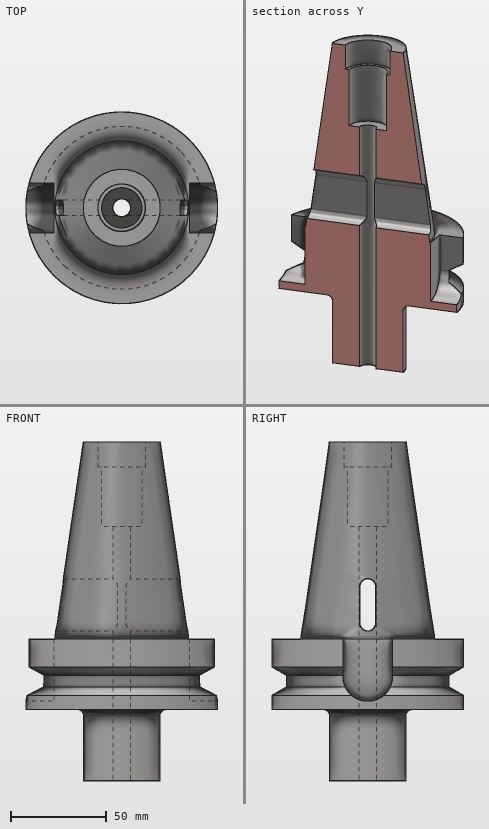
import cadquery as cq
import math

total_height = 176.8
flange_bottom = 37.1
flange_top = 73.9
taper_base = 75.0

nose_radius = 40.0 / 2
nose_fillet = 3.0
flange_radius = 100.0 / 2
taper_base_radius = 69.8 / 2
taper_ratio = 7 / 24
taper_tip_radius = taper_base_radius - (total_height - taper_base) * taper_ratio / 2

groove_radius = 85.0 / 2
groove_lower_edge = 44.5
groove_upper_edge = 59.4
groove_wall_height = (flange_radius - groove_radius) * math.tan(math.radians(30))

key_width = 26.0
key_bottom = 41.5
key_floor_distance = 35.4

drift_width = 8.1
drift_bottom = 78.1
drift_top = 105.4

mouth_diameter = 25.0
mouth_depth = 13.3
bore_diameter = 21.0
bore_depth = 44.2
through_diameter = 9.2


def turned_body():
    """Nose, grooved flange and taper as one revolved profile."""
    arc_offset = nose_fillet * (1 - math.sqrt(0.5))
    profile = (
        cq.Workplane("XZ")
        .lineTo(nose_radius, 0)
        .lineTo(nose_radius, flange_bottom - nose_fillet)
        .threePointArc(
            (nose_radius + arc_offset, flange_bottom - arc_offset),
            (nose_radius + nose_fillet, flange_bottom),
        )
        .lineTo(flange_radius, flange_bottom)
        .lineTo(flange_radius, groove_lower_edge)
        .lineTo(groove_radius, groove_lower_edge + groove_wall_height)
        .lineTo(groove_radius, groove_upper_edge - groove_wall_height)
        .lineTo(flange_radius, groove_upper_edge)
        .lineTo(flange_radius, flange_top)
        .lineTo(taper_base_radius, flange_top)
        .lineTo(taper_base_radius, taper_base)
        .lineTo(taper_tip_radius, total_height)
        .lineTo(0, total_height)
        .close()
    )
    return profile.revolve(360, (0, 0, 0), (0, 1, 0))


def key_slot(side):
    """Round-bottomed slot cutter, open outward on the given side of X."""
    half_width = key_width / 2
    arc_center = key_bottom + half_width
    return (
        cq.Workplane("YZ", origin=(side * key_floor_distance, 0, 0))
        .moveTo(-half_width, total_height)
        .lineTo(-half_width, arc_center)
        .threePointArc((0, key_bottom), (half_width, arc_center))
        .lineTo(half_width, total_height)
        .close()
        .extrude(side * flange_radius)
    )


def drift_slot():
    """Upright rounded slot cutter passing through the taper."""
    return (
        cq.Workplane("YZ")
        .center(0, (drift_bottom + drift_top) / 2)
        .slot2D(drift_top - drift_bottom, drift_width, 90)
        .extrude(flange_radius, both=True)
    )


def bore_from_top(diameter, depth):
    """Cylindrical cutter reaching down from the small end of the taper."""
    return cq.Workplane("XY", origin=(0, 0, total_height)).circle(diameter / 2).extrude(-depth)


result = turned_body().cut(drift_slot())
for side in (-1, 1):
    result = result.cut(key_slot(side))
for diameter, depth in (
    (mouth_diameter, mouth_depth),
    (bore_diameter, bore_depth),
    (through_diameter, total_height),
):
    result = result.cut(bore_from_top(diameter, depth))